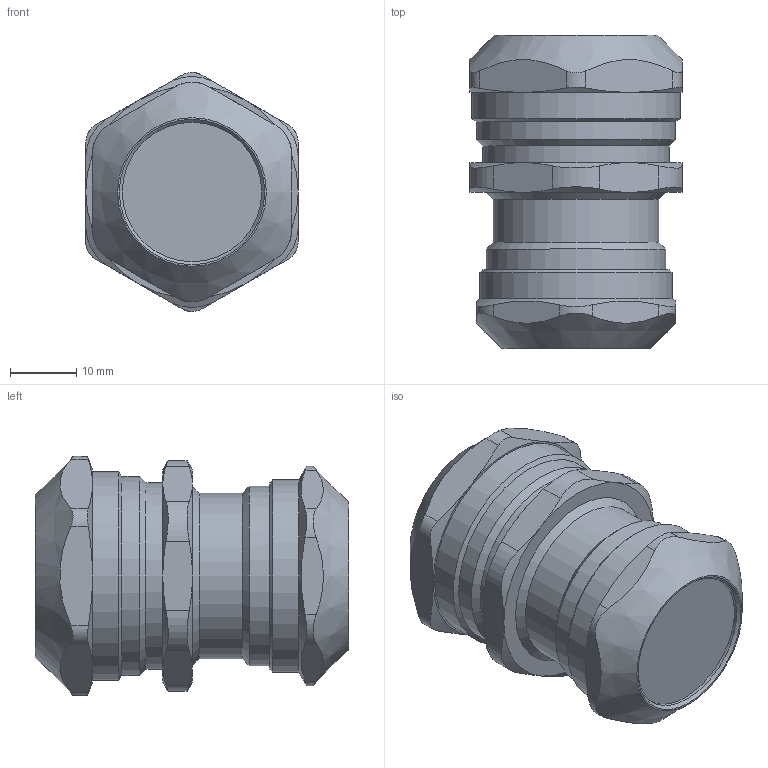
import cadquery as cq
import math


CAP_BACK = 7.5
FRONT_COLLAR_BACK = 11.45
NECK_FRONT = 11.9
NECK_BACK = 15.0
BODY_NUT_FRONT = 23.55
BODY_NUT_BACK = 28.0
STEP_COLLAR_FRONT = 31.5
SHOULDER_FRONT = 34.2
SHOULDER_BACK = 34.65
LENGTH = 47.22
BACK_NUT_LENGTH = 8.6
BACK_NUT_FRONT = LENGTH - BACK_NUT_LENGTH

FRONT_COLLAR_DIA = 29.0
NECK_DIA = 27.0
BARREL_DIA = 24.9
REAR_BARREL_DIA = 28.1
STEP_COLLAR_DIA = 30.0
SHOULDER_DIA = 31.41
FRONT_FACE_DIA = 22.4
BACK_FACE_DIA = 24.65

HEX_SIDES = 6
HEX_HALF_ANGLE = 180 / HEX_SIDES
CAP_FLATS = 30.0
CAP_CORNER_RADIUS = 5.0
NUT_FLATS = 32.0
BODY_NUT_CORNER_RADIUS = 7.0
BACK_NUT_CORNER_RADIUS = 3.0
CHAMFER_ANGLE = 30.0
BACK_NUT_CHAMFER_ANGLE = 20.0
DOME_ANGLE = 45.0

RECESS_DIA = 21.0
RECESS_RIM_DIA = 21.9
RECESS_DEPTH = 0.9


def revolve_profile(points):
    """Revolve (radius, y) points, closed through the axis, about the Y axis."""
    outline = [(0, points[0][1])] + points + [(0, points[-1][1])]
    return cq.Workplane("XY").polyline(outline).close().revolve(360, (0, 0, 0), (0, 1, 0))


def hex_nut(flats, corner_radius, front, back, front_cone, back_cone):
    """Round-cornered hexagon trimmed by a cone at each end.

    Each cone is (end diameter, angle between its slope and the end face).
    """
    corner_dia = flats / math.cos(math.radians(HEX_HALF_ANGLE))
    prism = (
        cq.Workplane("XZ", origin=(0, front, 0))
        .transformed(rotate=(0, 0, HEX_HALF_ANGLE))
        .polygon(HEX_SIDES, corner_dia)
        .extrude(-(back - front))
        .edges("|Y")
        .fillet(corner_radius)
    )

    def cone_length(cone):
        end_dia, angle = cone
        return (corner_dia - end_dia) / 2 * math.tan(math.radians(angle))

    envelope = revolve_profile([
        (front_cone[0] / 2, front),
        (corner_dia / 2, front + cone_length(front_cone)),
        (corner_dia / 2, back - cone_length(back_cone)),
        (back_cone[0] / 2, back),
    ])
    return prism.intersect(envelope)


def gland_body():
    """Stepped round core; every slope is a 45 degree cone except the steeper one at the shoulder."""
    front_collar_r = FRONT_COLLAR_DIA / 2
    neck_r = NECK_DIA / 2
    barrel_r = BARREL_DIA / 2
    rear_barrel_r = REAR_BARREL_DIA / 2
    step_collar_r = STEP_COLLAR_DIA / 2
    shoulder_r = SHOULDER_DIA / 2
    neck_slope = neck_r - barrel_r
    collar_lip_r = front_collar_r - (NECK_FRONT - FRONT_COLLAR_BACK)
    collar_slope = step_collar_r - rear_barrel_r
    return revolve_profile([
        (front_collar_r, CAP_BACK),
        (front_collar_r, FRONT_COLLAR_BACK),
        (collar_lip_r, NECK_FRONT),
        (neck_r, NECK_FRONT),
        (neck_r, NECK_BACK),
        (barrel_r, NECK_BACK + neck_slope),
        (barrel_r, BODY_NUT_FRONT - neck_slope),
        (neck_r, BODY_NUT_FRONT),
        (rear_barrel_r, BODY_NUT_FRONT),
        (rear_barrel_r, STEP_COLLAR_FRONT - collar_slope),
        (step_collar_r, STEP_COLLAR_FRONT),
        (step_collar_r, SHOULDER_FRONT),
        (shoulder_r, SHOULDER_BACK),
        (shoulder_r, BACK_NUT_FRONT),
    ])


def face_recess():
    """Shallow round recess with a 45 degree chamfered rim."""
    rim_chamfer = (RECESS_RIM_DIA - RECESS_DIA) / 2
    return revolve_profile([
        (RECESS_RIM_DIA / 2, 0),
        (RECESS_DIA / 2, rim_chamfer),
        (RECESS_DIA / 2, RECESS_DEPTH),
    ])


cap = hex_nut(
    CAP_FLATS, CAP_CORNER_RADIUS, 0, CAP_BACK,
    (FRONT_FACE_DIA, DOME_ANGLE), (FRONT_COLLAR_DIA, CHAMFER_ANGLE),
)
body_nut = hex_nut(
    NUT_FLATS, BODY_NUT_CORNER_RADIUS, BODY_NUT_FRONT, BODY_NUT_BACK,
    (NUT_FLATS, CHAMFER_ANGLE), (NUT_FLATS, CHAMFER_ANGLE),
)
back_nut = hex_nut(
    NUT_FLATS, BACK_NUT_CORNER_RADIUS, BACK_NUT_FRONT, LENGTH,
    (NUT_FLATS, BACK_NUT_CHAMFER_ANGLE), (BACK_FACE_DIA, DOME_ANGLE),
)

result = gland_body().union(cap).union(body_nut).union(back_nut).cut(face_recess())